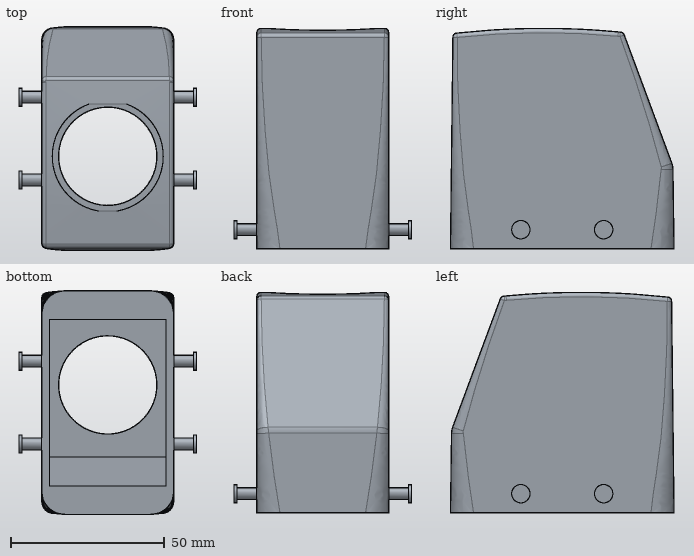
import cadquery as cq
import math

width = 43.1
base_half_length = 36.5
height = 72.0
rear_top_y = -35.7
shoulder_y = 36.1
shoulder_z = 27.0
front_top_y = 19.9
roof_front_z = 70.7
roof_rear_z = 70.3
shoulder_blend = 5.85

base_radius = 7.6
roof_radius = 1.45
radius_samples = 5

entry_y = -5.8
entry_radius = 16.0
seat_radius = 18.1
seat_z = 71.4

wall = 2.5
slope_wall = 3.1
roof_thickness = 3.5
cavity_half_length = 27.15
cavity_top_z = seat_z - roof_thickness

peg_span = 58.0
peg_radius = 2.0
peg_head_radius = 3.0
peg_head_thickness = 1.1
peg_z = 6.3
peg_spacing = 27.0


def corner_radius(z):
    """Rounding of the upright corners, shrinking quadratically with height."""
    return roof_radius + (base_radius - roof_radius) * max(0, 1 - z / roof_front_z) ** 2


def make_envelope():
    """Side outline with a sloping front and crowned roof, extruded across X."""
    block = (
        cq.Workplane("YZ")
        .moveTo(-base_half_length, 0)
        .lineTo(base_half_length, 0)
        .lineTo(shoulder_y, shoulder_z)
        .lineTo(front_top_y, roof_front_z)
        .threePointArc((entry_y, height), (rear_top_y, roof_rear_z))
        .close()
        .extrude(width / 2, both=True)
    )
    shoulder_edge = cq.selectors.NearestToPointSelector((0, shoulder_y, shoulder_z))
    return block.edges(shoulder_edge).fillet(shoulder_blend).val()


def round_corners(body):
    """Tapering fillets along the upright and sloping corner edges."""
    shapes = cq.occ_impl.shapes
    fillet = shapes.BRepFilletAPI_MakeFillet(body.wrapped)
    for edge in body.Edges():
        start = edge.startPoint()
        end = edge.endPoint()
        runs_across = abs(start.x - end.x) > 0.7
        is_upright = abs(start.z - end.z) > 0.7
        if is_upright and not runs_across:
            samples = shapes.TColgp_HArray1OfPnt2d(1, radius_samples)
            for index in range(radius_samples):
                fraction = index / (radius_samples - 1)
                z = start.z + fraction * (end.z - start.z)
                samples.SetValue(index + 1, shapes.gp_Pnt2d(fraction, corner_radius(z)))
            fillet.Add(samples, edge.wrapped)
    return cq.Workplane(cq.Shape.cast(fillet.Shape()).Solids()[0])


def make_cavity():
    """Square-cornered hollow whose front runs parallel to the outer slope."""
    slope_y = front_top_y - shoulder_y
    slope_z = roof_front_z - shoulder_z
    inset_y = slope_wall * math.hypot(slope_y, slope_z) / slope_z

    def inner_slope_y(z):
        return shoulder_y - inset_y + (z - shoulder_z) * slope_y / slope_z

    bend_z = shoulder_z + (cavity_half_length - shoulder_y + inset_y) * slope_z / slope_y
    return (
        cq.Workplane("YZ")
        .moveTo(-cavity_half_length, 0)
        .lineTo(cavity_half_length, 0)
        .lineTo(cavity_half_length, bend_z)
        .lineTo(inner_slope_y(cavity_top_z), cavity_top_z)
        .lineTo(-cavity_half_length, cavity_top_z)
        .close()
        .extrude(width / 2 - wall, both=True)
    )


def roof_cylinder(radius, bottom_z):
    """Upright cutter on the cable entry axis, reaching through the roof top."""
    return cq.Workplane("XY", origin=(0, entry_y, bottom_z)).circle(radius).extrude(height - bottom_z + 0.7)


def make_peg(side, y):
    """Headed peg starting inside the side wall; side is +1 or -1 along X."""
    root_x = width / 2 - wall / 2
    length = peg_span / 2 - root_x
    plane = cq.Plane(origin=(side * root_x, y, peg_z), xDir=(0, 1, 0), normal=(side, 0, 0))
    stem = cq.Workplane(plane).circle(peg_radius).extrude(length)
    head = (
        cq.Workplane(plane)
        .workplane(offset=length - peg_head_thickness)
        .circle(peg_head_radius)
        .extrude(peg_head_thickness)
    )
    return stem.union(head)


hood = round_corners(make_envelope())
hood = hood.faces(">Z").edges().fillet(roof_radius)
hood = hood.cut(make_cavity())
hood = hood.cut(roof_cylinder(seat_radius, seat_z))
hood = hood.cut(roof_cylinder(entry_radius, cavity_top_z - 0.7))
for side in (-1, 1):
    for y in (-peg_spacing / 2, peg_spacing / 2):
        hood = hood.union(make_peg(side, y))

result = cq.Workplane(hood.val().Solids()[0])